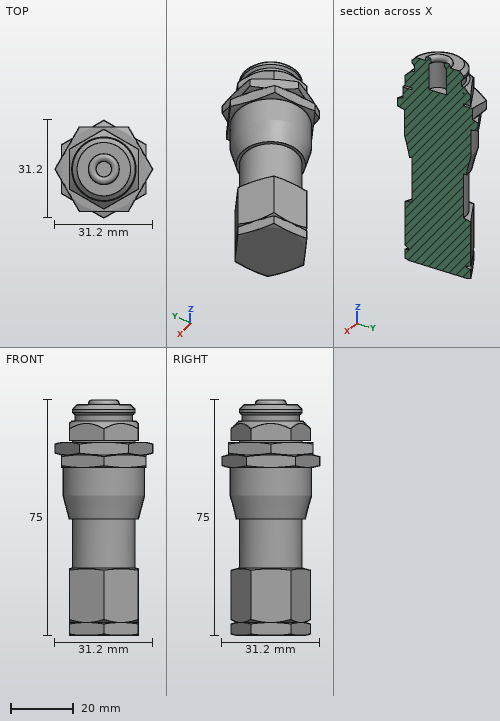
import cadquery as cq
import math

gland_top = 4.1
socket_top = 21.47
tube_top = 37.0
taper_top = 44.5
lower_nut_bottom = 53.5
upper_nut_bottom = 57.5
upper_nut_top = 61.5
head_bottom = 62.0
head_top = 68.25
neck_top = 70.2
rim_bottom = 71.0
rim_top = 72.0
end_face = 73.5
overall_height = 75.0

tube_diameter = 20.0
taper_small_diameter = 22.0
barrel_diameter = 26.0
neck_diameter = 18.4
rim_diameter = 20.0
end_face_diameter = 17.0

body_hex_width = 22.0
lock_nut_width = 27.0
hex_chamfer_angle = 15.0
socket_underside_angle = 30.0
head_chamfer_angle = 45.0
head_chamfer_diameter = 20.5

seal_outer_diameter = 9.85
seal_inner_diameter = 4.9
bore_diameter = 6.5
bore_depth = 10.0


def corner_drop(corner_radius, face_radius, angle):
    """Axial drop at the hexagon corners of a conical chamfer that starts at face_radius."""
    return (corner_radius - face_radius) * math.tan(math.radians(angle))


def hexagon(bottom, top, width, bottom_angle, top_angle, top_diameter, corner_on_x=False):
    """Hexagonal prism with its corners turned off by a cone at each end.

    The lower cone starts at the circle touching the flats, the upper one at top_diameter.
    A zero angle leaves that end flat.
    """
    bottom_radius = width / 2
    top_radius = top_diameter / 2
    corner_radius = width / math.sqrt(3)
    bottom_corner = bottom + corner_drop(corner_radius, bottom_radius, bottom_angle)
    top_corner = top - corner_drop(corner_radius, top_radius, top_angle)

    prism = cq.Workplane("XY").workplane(offset=bottom).polygon(6, 2 * corner_radius).extrude(top - bottom)
    if not corner_on_x:
        prism = prism.rotate((0, 0, 0), (0, 0, 1), 30)
    envelope = (
        cq.Workplane("XZ")
        .moveTo(0, bottom)
        .lineTo(bottom_radius, bottom)
        .lineTo(corner_radius, bottom_corner)
        .lineTo(corner_radius, top_corner)
        .lineTo(top_radius, top)
        .lineTo(0, top)
        .close()
        .revolve(360, (0, 0, 0), (0, 1, 0))
    )
    return prism.intersect(envelope).clean()


def lock_nut(bottom, top, corner_on_x):
    """Thin hexagon nut chamfered alike on both faces."""
    return hexagon(
        bottom, top, lock_nut_width, hex_chamfer_angle, hex_chamfer_angle, lock_nut_width, corner_on_x
    )


def turned_body():
    """Round core of the fitting, from the bottom face to the flat end face."""
    tube_radius = tube_diameter / 2
    small_radius = taper_small_diameter / 2
    barrel_radius = barrel_diameter / 2
    rim_radius = rim_diameter / 2
    neck_radius = neck_diameter / 2
    return (
        cq.Workplane("XZ")
        .lineTo(tube_radius, 0)
        .lineTo(tube_radius, tube_top)
        .lineTo(small_radius, tube_top)
        .lineTo(barrel_radius, taper_top)
        .lineTo(barrel_radius, lower_nut_bottom)
        .lineTo(tube_radius, lower_nut_bottom)
        .lineTo(tube_radius, head_bottom)
        .lineTo(neck_radius, head_bottom)
        .lineTo(neck_radius, neck_top)
        .lineTo(rim_radius, rim_bottom)
        .lineTo(rim_radius, rim_top)
        .lineTo(end_face_diameter / 2, end_face)
        .lineTo(0, end_face)
        .close()
        .revolve(360, (0, 0, 0), (0, 1, 0))
    )


def seal_ring():
    """O-ring seated in the end face over the mouth of the bore, standing proud of the face."""
    section_radius = (seal_outer_diameter - seal_inner_diameter) / 4
    ring_radius = (seal_outer_diameter + seal_inner_diameter) / 4
    return (
        cq.Workplane("XZ")
        .center(ring_radius, overall_height - section_radius)
        .circle(section_radius)
        .revolve(360, (-ring_radius, 0, 0), (-ring_radius, 1, 0))
    )


gland_nut = hexagon(0, gland_top, body_hex_width, hex_chamfer_angle, hex_chamfer_angle, body_hex_width)
socket = hexagon(
    gland_top, socket_top, body_hex_width, socket_underside_angle, hex_chamfer_angle, tube_diameter
)
lower_nut = lock_nut(lower_nut_bottom, upper_nut_bottom, corner_on_x=False)
upper_nut = lock_nut(upper_nut_bottom, upper_nut_top, corner_on_x=True)
head = hexagon(head_bottom, head_top, body_hex_width, 0, head_chamfer_angle, head_chamfer_diameter)

result = turned_body()
for hex_part in (gland_nut, socket, lower_nut, upper_nut, head):
    result = result.union(hex_part)

bore = cq.Workplane("XY").workplane(offset=end_face).circle(bore_diameter / 2).extrude(-bore_depth)
result = result.cut(bore).union(seal_ring())